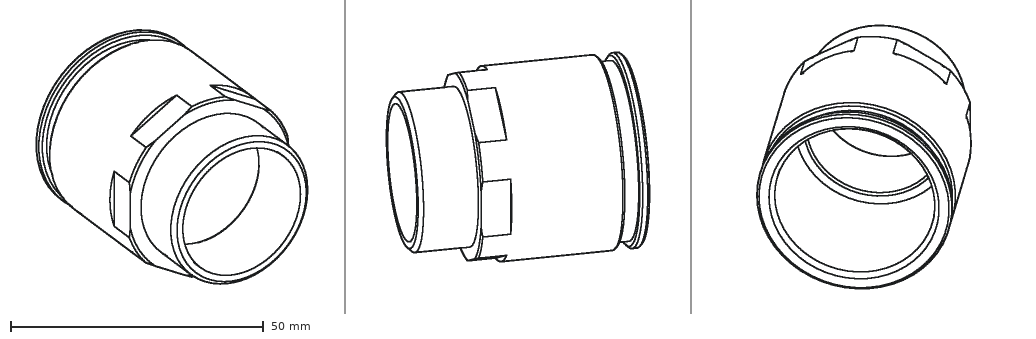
import cadquery as cq
import math

TOTAL_LENGTH = 46.0
GROOVE_START = 2.0
GROOVE_END = 5.0
FLATS_START = 28.0
BODY_END = 34.0
SOCKET_DEPTH = 30.0

BODY_DIAMETER = 39.0
GROOVE_DIAMETER = 36.0
SPIGOT_DIAMETER = 32.0
SOCKET_DIAMETER = 32.0
BORE_DIAMETER = 27.5

FLAT_COUNT = 6
ACROSS_FLATS = 37.0

EDGE_CHAMFER = 0.5
SPIGOT_CHAMFER = 0.9
BODY_END_CHAMFER_RADIAL = 0.6
BODY_END_CHAMFER_ANGLE = 30.0
SOCKET_CHAMFER = 1.0
BORE_CHAMFER = 0.5


def revolve_about_x(profile):
    """Solid of revolution from (x, radius) points closed along the X axis."""
    return cq.Workplane("XY").polyline(profile).close().revolve(360, (0, 0, 0), (1, 0, 0))


def make_outside():
    body_radius = BODY_DIAMETER / 2
    edge_radius = body_radius - EDGE_CHAMFER
    groove_radius = GROOVE_DIAMETER / 2
    spigot_radius = SPIGOT_DIAMETER / 2
    end_chamfer_length = BODY_END_CHAMFER_RADIAL * math.tan(math.radians(BODY_END_CHAMFER_ANGLE))
    return revolve_about_x([
        (0, 0),
        (0, edge_radius),
        (EDGE_CHAMFER, body_radius),
        (GROOVE_START - EDGE_CHAMFER, body_radius),
        (GROOVE_START, edge_radius),
        (GROOVE_START, groove_radius),
        (GROOVE_END, groove_radius),
        (GROOVE_END, edge_radius),
        (GROOVE_END + EDGE_CHAMFER, body_radius),
        (BODY_END - end_chamfer_length, body_radius),
        (BODY_END, body_radius - BODY_END_CHAMFER_RADIAL),
        (BODY_END, spigot_radius),
        (TOTAL_LENGTH - SPIGOT_CHAMFER, spigot_radius),
        (TOTAL_LENGTH, spigot_radius - SPIGOT_CHAMFER),
        (TOTAL_LENGTH, 0),
    ])


def make_flats_cutter():
    """Ring outside a hexagon that has two of its flats facing -Y and +Y."""
    across_corners = ACROSS_FLATS / math.cos(math.pi / FLAT_COUNT)
    flats_length = BODY_END - FLATS_START
    start_plane = cq.Workplane("YZ", origin=(FLATS_START, 0, 0))
    hexagon = start_plane.polygon(FLAT_COUNT, across_corners).extrude(flats_length)
    hexagon = hexagon.rotate((0, 0, 0), (1, 0, 0), 180 / FLAT_COUNT)
    return start_plane.circle(BODY_DIAMETER).extrude(flats_length).cut(hexagon)


def make_inside():
    """Wide socket stepping down to the through bore, both with chamfered mouths."""
    socket_radius = SOCKET_DIAMETER / 2
    bore_radius = BORE_DIAMETER / 2
    return revolve_about_x([
        (0, 0),
        (0, socket_radius + SOCKET_CHAMFER),
        (SOCKET_CHAMFER, socket_radius),
        (SOCKET_DEPTH, socket_radius),
        (SOCKET_DEPTH, bore_radius + BORE_CHAMFER),
        (SOCKET_DEPTH + BORE_CHAMFER, bore_radius),
        (TOTAL_LENGTH, bore_radius),
        (TOTAL_LENGTH, 0),
    ])


result = make_outside().cut(make_flats_cutter()).cut(make_inside())